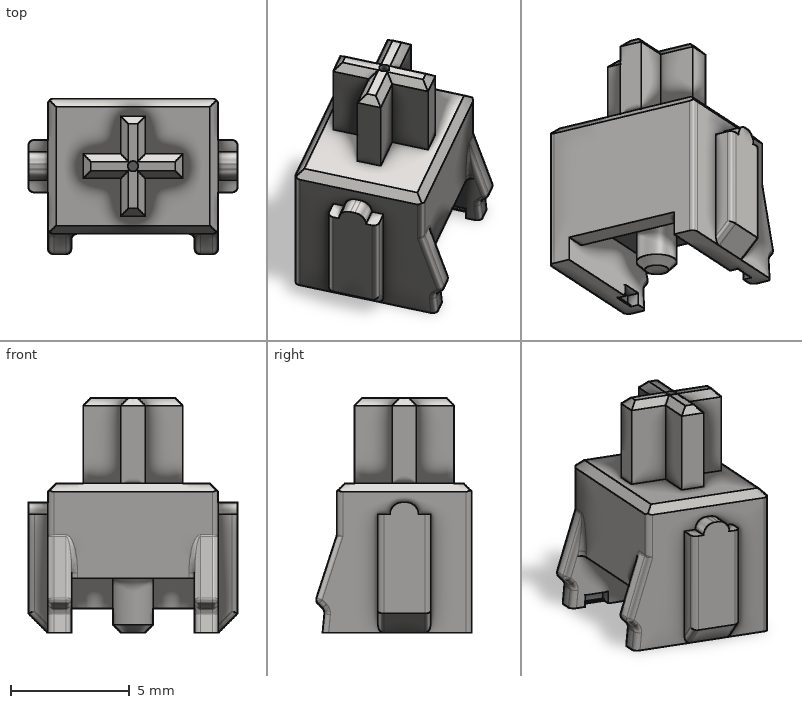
import cadquery as cq
import math

body_width = 7.18
body_depth = 5.7
body_height = 6.3
body_chamfer = 0.35
edge_radius = 0.25
wall = 1.0
floor_height = 2.3
back_wall_bottom = 1.02

stem_span = 4.2
stem_arm_width = 1.03
stem_height = 3.6
stem_chamfer = 0.32
stem_hole_diameter = 0.44
stem_hole_depth = 1.0

overall_width = 8.82
rib_width = 2.22
rib_height = 5.0
rib_crown_width = 1.2
rib_crown_height = 0.5
rib_crown_radius = 0.5
rib_overlap = 0.3

ramp_top_z = 4.11
ramp_angle = 18.0
hook_tip_y = -3.75
foot_top_y = -3.36
foot_bottom_y = -3.45
foot_corner_radius = 0.3
leg_overlap = 0.6

pin_diameter = 1.7
pin_chamfer = 0.35

notch_front_y = -2.78
notch_length = 1.08
notch_height = 0.53
notch_depth = 0.38
lip_height = 0.07
undercut_depth = 0.15

half_width = body_width / 2
half_depth = body_depth / 2
inner_x = half_width - wall


def box(x0, x1, y0, y1, z0, z1):
    """Box between opposite corners."""
    return cq.Workplane("XY").box(x1 - x0, y1 - y0, z1 - z0, centered=False).translate((x0, y0, z0))


def make_body():
    """Housing block with rounded corners, chamfered rim and open underside."""
    block = box(-half_width, half_width, -half_depth, half_depth, 0, body_height)
    rounded = block.edges("|Z").fillet(edge_radius)
    body = rounded.intersect(block.faces(">Z").chamfer(body_chamfer))
    back_wall_y = half_depth - wall
    body = body.cut(box(-inner_x, inner_x, -half_depth, back_wall_y, 0, floor_height))
    return body.cut(box(-inner_x, inner_x, back_wall_y, half_depth, 0, back_wall_bottom))


def make_leg():
    """Snap leg on the +X side: a sloping ramp, a hook and a foot."""
    slope = math.tan(math.radians(ramp_angle))
    hook_tip_z = ramp_top_z - (-half_depth - hook_tip_y) / slope
    foot_top_z = hook_tip_z - (foot_top_y - hook_tip_y)
    back_y = -half_depth + leg_overlap
    outline = [
        (back_y, 0),
        (foot_bottom_y, 0),
        (foot_top_y, foot_top_z),
        (hook_tip_y, hook_tip_z),
        (back_y, ramp_top_z + leg_overlap / slope),
    ]
    leg = cq.Workplane("YZ").polyline(outline).close().extrude(wall).translate((inner_x, 0, 0))
    middle_x = inner_x + wall / 2
    hook_edge = cq.selectors.NearestToPointSelector((middle_x, hook_tip_y, hook_tip_z))
    leg = leg.edges(hook_edge).fillet(edge_radius)
    foot_corner = cq.selectors.NearestToPointSelector((middle_x, foot_top_y, foot_top_z))
    leg = leg.edges(foot_corner).fillet(foot_corner_radius)
    front_edges = leg.faces("<X or >X").edges("not (|Y or >Y)")
    return front_edges.fillet(edge_radius)


def make_rib():
    """Guide rib on the +X side wall, sloped at the foot and crowned at the top."""
    tip_x = overall_width / 2
    outline = [
        (half_width - rib_overlap, 0),
        (half_width, 0),
        (tip_x, tip_x - half_width),
        (tip_x, rib_height),
        (half_width - rib_overlap, rib_height),
    ]
    rib = cq.Workplane("XZ").polyline(outline).close().extrude(rib_width / 2, both=True)
    outer_edges = rib.faces("<Y or >Y").edges("not (<X or <Z or >Z)")
    rib = outer_edges.fillet(edge_radius)
    crown = box(
        half_width - rib_overlap, tip_x,
        -rib_crown_width / 2, rib_crown_width / 2,
        rib_height - rib_crown_height, rib_height + rib_crown_height,
    )
    crown = crown.faces(">Z").edges("|X").fillet(rib_crown_radius)
    return rib.union(crown)


def make_stem_arm(length_x, length_y):
    """One bar of the stem, chamfered around its top."""
    bar = box(
        -length_x / 2, length_x / 2,
        -length_y / 2, length_y / 2,
        body_height, body_height + stem_height,
    )
    return bar.faces(">Z").chamfer(stem_chamfer)


def make_stem():
    """Cross-shaped stem with a small blind hole in its centre."""
    stem = make_stem_arm(stem_span, stem_arm_width).union(make_stem_arm(stem_arm_width, stem_span))
    return stem.faces(">Z").workplane(origin=(0, 0, 0)).hole(stem_hole_diameter, stem_hole_depth)


def make_pin():
    """Locating pin with a chamfered end."""
    pin = cq.Workplane("XY").circle(pin_diameter / 2).extrude(floor_height)
    return pin.faces("<Z").chamfer(pin_chamfer)


def make_notch():
    """Undercut notch in the +X wall: open below and inward, with a lip at the bottom."""
    back_y = notch_front_y + notch_length
    lip_x = inner_x + notch_depth
    opening = box(inner_x, lip_x, notch_front_y, back_y, 0, notch_height)
    undercut = box(lip_x, lip_x + undercut_depth, notch_front_y, back_y, lip_height, notch_height)
    return opening.union(undercut)


def round_leg_junctions(body):
    """Fillet the inside corners between the front wall and the two legs."""
    margin = 0.01
    leg_middle = inner_x + wall / 2
    for side in (-1, 1):
        junction = cq.selectors.BoxSelector(
            (side * (inner_x - margin), -half_depth - margin, floor_height),
            (side * (leg_middle + margin), -half_depth + margin, ramp_top_z + margin),
        )
        body = body.edges(junction).fillet(edge_radius)
    return body


leg = make_leg()
result = make_body().union(leg).union(leg.mirror("YZ"))
result = round_leg_junctions(result)
rib = make_rib()
result = result.union(rib).union(rib.mirror("YZ"))
result = result.union(make_stem()).union(make_pin())
notch = make_notch()
result = result.cut(notch).cut(notch.mirror("YZ"))